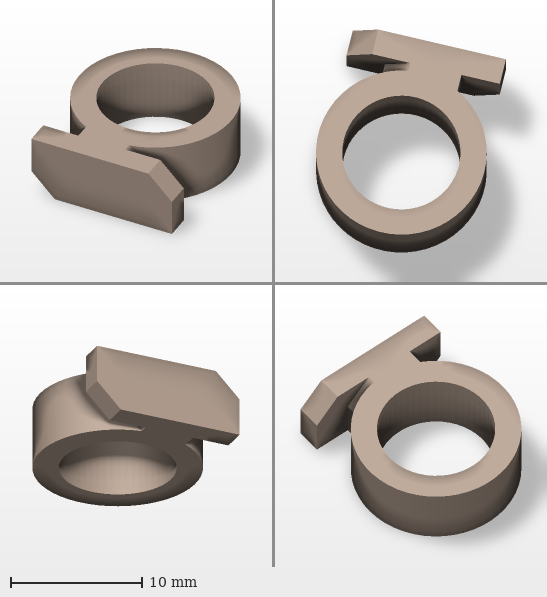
import cadquery as cq

length = 15.54
height = 5.0
ring_diameter = 12.99
bore_diameter = 9.0
plate_width = 12.0
plate_thickness = 2.0
neck_width = 6.0
chamfer = 2.0

plate_front = ring_diameter / 2 - length
plate_back = plate_front + plate_thickness


def chamfered_bar(width, y_front, y_back):
    """Bar along Y with its top +X and bottom -X edges cut at 45 degrees."""
    half = width / 2
    profile = [
        (-half, chamfer),
        (-half + chamfer, 0),
        (half, 0),
        (half, height - chamfer),
        (half - chamfer, height),
        (-half, height),
    ]
    return (
        cq.Workplane("XZ", origin=(0, y_front, 0))
        .polyline(profile)
        .close()
        .extrude(y_front - y_back)
    )


ring = cq.Workplane("XY").circle(ring_diameter / 2).extrude(height)
plate = chamfered_bar(plate_width, plate_front, plate_back)

neck = chamfered_bar(neck_width, plate_front, 0)

bore = cq.Workplane("XY").circle(bore_diameter / 2).extrude(height)

result = ring.union(neck).union(plate).cut(bore)